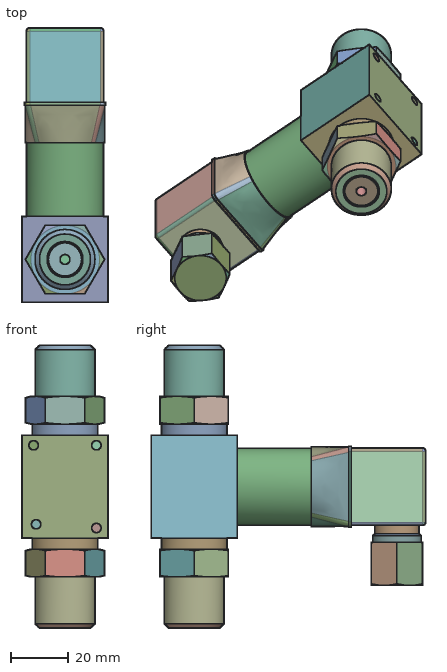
import cadquery as cq
import math

block_side = 30.1
block_height = 36.0
overall_height = 99.0
overall_length = 96.0
block_front = -block_side / 2
block_back = block_side / 2
block_top = block_height / 2

collar_dia = 23.0
collar_height = 3.9
hex_flats = 24.0
hex_height = 9.7
hex_chamfer = 0.5
thread_dia = 21.0
thread_chamfer = 1.6
bore_dia = 3.5
groove_outer_dia = 12.6
groove_inner_dia = 11.6
groove_depth = 0.2

mount_hole_dia = 3.3
mount_hole_depth = 5.9
hole_x = 11.0
hole_z = 14.5
offset_hole_x = 10.1
offset_hole_z = 13.2
mount_hole_places = [
    (-hole_x, hole_z),
    (hole_x, hole_z),
    (hole_x, -hole_z),
    (-offset_hole_x, -offset_hole_z),
]

barrel_dia = 27.0
barrel_length = 25.8
adapter_width = 27.9
adapter_length = 13.1
strip_half_angle = 4.0
flange_side = 28.4
flange_thickness = 1.0
corner_radius = 1.9
plug_side = 27.1
plug_round = 1.2
adapter_start = block_back + barrel_length
flange_start = adapter_start + adapter_length
plug_start = flange_start + flange_thickness
plug_end = block_front + overall_length

gland_y = 70.9
gland_neck_dia = 15.5
gland_neck_length = 3.0
gland_collar_dia = 17.0
gland_collar_length = 3.0
gland_collar_chamfer = 0.6
gland_hex_flats = 18.0
gland_hex_length = 15.0
gland_hex_chamfer = 0.6


def cylinder(diameter, bottom, height):
    """Upright cylinder on the Z axis."""
    return cq.Workplane("XY", origin=(0, 0, bottom)).circle(diameter / 2).extrude(height)


def hexagon(flats, bottom, height, chamfer, ends):
    """Upright hexagonal bar with corners on X, turned down conically at the chosen ends."""
    corners = flats / math.cos(math.pi / 6)
    bar = cq.Workplane("XY", origin=(0, 0, bottom)).polygon(6, corners).extrude(height)
    turned = cylinder(corners, bottom, height)
    turned = turned.faces(ends).chamfer(chamfer, (corners - flats) / 2)
    return bar.intersect(turned)


def upper_fitting():
    """Collar, hexagon and threaded end, with a sealing groove and a bore down to the block."""
    hex_bottom = block_top + collar_height
    thread_bottom = hex_bottom + hex_height
    thread_top = overall_height / 2
    collar = cylinder(collar_dia, block_top, collar_height)
    nut = hexagon(hex_flats, hex_bottom, hex_height, hex_chamfer, "<Z or >Z")
    thread = cylinder(thread_dia, thread_bottom, thread_top - thread_bottom)
    thread = thread.faces(">Z").chamfer(thread_chamfer)

    groove = (
        cq.Workplane("XY", origin=(0, 0, thread_top))
        .circle(groove_outer_dia / 2)
        .circle(groove_inner_dia / 2)
        .extrude(-groove_depth)
    )
    bore = cylinder(bore_dia, block_top, thread_top - block_top)
    return collar.union(nut).union(thread).cut(groove).cut(bore)


def upright_plane(y):
    """Plane facing -Y, with local axes X and Z."""
    return cq.Workplane("XZ", origin=(0, y, 0))


def mount_holes():
    """Blind holes entering the front face."""
    plane = upright_plane(block_front)
    return plane.pushPoints(mount_hole_places).circle(mount_hole_dia / 2).extrude(-mount_hole_depth)


def square_bar(side, start, length):
    """Square bar lying along +Y."""
    return upright_plane(start).rect(side, side).extrude(-length)


def adapter_outline(y, side_end, corner_mid, side_mid=None):
    """Closed outline of four sides joined by four corner arcs.

    side_end is the (x, z) end of the +X side, corner_mid the x = z of the corner arc's
    middle, and side_mid the reach of a bowed side. Sides without side_mid are straight.
    """
    x_end, z_end = side_end
    path = upright_plane(y).moveTo(x_end, -z_end)
    for quarter in range(4):
        cos_turn = round(math.cos(quarter * math.pi / 2))
        sin_turn = round(math.sin(quarter * math.pi / 2))

        def turned(x, z):
            return (x * cos_turn - z * sin_turn, x * sin_turn + z * cos_turn)

        if side_mid is None:
            path = path.lineTo(*turned(x_end, z_end))
        else:
            path = path.threePointArc(turned(side_mid, 0), turned(x_end, z_end))
        path = path.threePointArc(turned(corner_mid, corner_mid), turned(z_end, x_end))
    return path.wire().val()


def adapter():
    """Transition from a circle at the barrel to a rounded square at the flange."""
    half = adapter_width / 2
    diagonal = math.cos(math.pi / 4)
    strip_start = math.radians(45 - strip_half_angle)
    circle_end = (half * math.cos(strip_start), half * math.sin(strip_start))
    circle = adapter_outline(adapter_start, circle_end, half * diagonal, half)

    arc_centre = half - corner_radius
    square = adapter_outline(flange_start, (half, arc_centre), arc_centre + corner_radius * diagonal)
    return cq.Workplane(cq.Solid.makeLoft([circle, square], True))


def sensor():
    """Barrel, adapter, flange and plug along +Y."""
    barrel = upright_plane(block_back).circle(barrel_dia / 2).extrude(-barrel_length)
    flange = square_bar(flange_side, flange_start, flange_thickness)
    flange = flange.edges("|Y").fillet(corner_radius)
    plug = square_bar(plug_side, plug_start, plug_end - plug_start)
    plug = plug.edges("|Y or >Y").fillet(plug_round)
    return barrel.union(adapter()).union(flange).union(plug)


def gland():
    """Neck, chamfered collar and hexagonal cap hanging below the plug."""
    neck_bottom = -plug_side / 2 - gland_neck_length
    collar_bottom = neck_bottom - gland_collar_length
    hex_bottom = collar_bottom - gland_hex_length
    neck = cylinder(gland_neck_dia, neck_bottom, gland_neck_length)
    collar = cylinder(gland_collar_dia, collar_bottom, gland_collar_length)
    collar_step = (gland_collar_dia - gland_neck_dia) / 2
    collar = collar.faces(">Z").chamfer(gland_collar_chamfer, collar_step)
    cap = hexagon(gland_hex_flats, hex_bottom, gland_hex_length, gland_hex_chamfer, "<Z")
    return neck.union(collar).union(cap).translate((0, gland_y, 0))


block = cq.Workplane("XY").box(block_side, block_side, block_height)
fitting = upper_fitting()
result = (
    block.cut(mount_holes())
    .union(fitting)
    .union(fitting.mirror("XY"))
    .union(sensor())
    .union(gland())
)